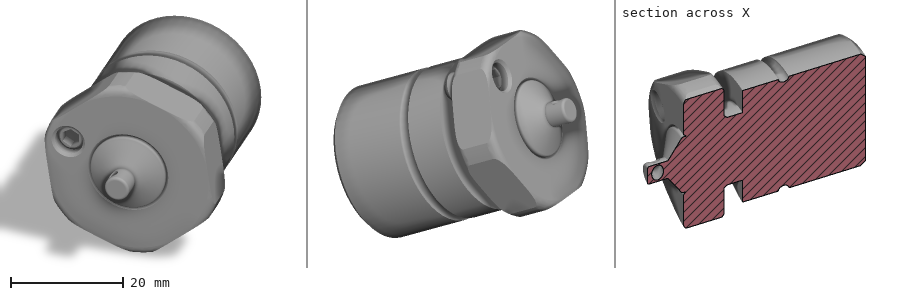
import cadquery as cq
import math

AXIS_START = (0, 0, 0)
AXIS_END = (0, 1, 0)

pin_length = 4.0
nut_front = 7.0
nut_thickness = 8.0
nut_back = nut_front + nut_thickness
neck_length = 3.5
body_front = nut_back + neck_length
body_length = 24.0
body_back = body_front + body_length

body_radius = 28.0 / 2
body_chamfer = 1.0
groove_radius = 1.0
groove_center = body_front + 8.0

neck_radius = 17.0 / 2
neck_flare = 0.5

nut_across_flats = 30.0
nut_corner_radius = 33.0 / 2
nut_edge_fillet = 1.5
nut_corner_angle = 158.5

spindle_radius = 14.0 / 2
spindle_fillet = 0.5
cone_angle = 30.0
pin_radius = 4.5 / 2
pin_fillet = 0.5
bore_chamfer = 0.5
cross_hole_diameter = 2.2
cross_hole_station = 2.0
cross_hole_angle = nut_corner_angle - 30.0

screw_pitch_radius = 12.0
screw_radius = 6.0 / 2
screw_hole_radius = 5.2 / 2
screw_hole_chamfer = 0.5
screw_recess = 1.5
screw_head_chamfer = 0.6
screw_point_length = 1.6
screw_point_radius = 1.5
socket_across_flats = 3.0
socket_depth = 2.0


def plane_at(station):
    """Plane square to the axis, local x = +X, local y = +Z, normal = -Y."""
    return cq.Workplane("XZ", origin=(0, station, 0))


def cylinder(radius, start, end):
    """Cylinder about the axis."""
    return plane_at(end).circle(radius).extrude(end - start)


def hexagon(across_flats, start, end):
    """Hexagonal bar with a corner pointing to +X."""
    across_corners = across_flats / math.cos(math.pi / 6)
    return plane_at(end).polygon(6, across_corners).extrude(end - start)


def cone(start_radius, end_radius, start, end):
    """Cone frustum about the axis."""
    outline = cq.Workplane("XY").polyline([
        (0, start),
        (start_radius, start),
        (end_radius, end),
        (0, end),
    ])
    return outline.close().revolve(360, AXIS_START, AXIS_END)


def at_screw(shape):
    """Move a shape from the axis to the position of the set screw."""
    angle = math.radians(nut_corner_angle)
    return shape.translate((screw_pitch_radius * math.cos(angle), 0, screw_pitch_radius * math.sin(angle)))


def make_body():
    body = cylinder(body_radius, body_front, body_back).faces(">Y").chamfer(body_chamfer)
    ring = cq.Workplane("XY").center(body_radius, groove_center).circle(groove_radius)
    groove = ring.revolve(360, (-body_radius, 0, 0), (-body_radius, 1, 0))
    return body.cut(groove)


def make_neck():
    neck = cylinder(neck_radius, nut_back, body_front)
    flare = cone(neck_radius + neck_flare, neck_radius, nut_back, nut_back + neck_flare)
    return neck.union(flare)


def make_nut():
    blank = cylinder(nut_corner_radius, nut_front, nut_back).edges().fillet(nut_edge_fillet)
    flats = hexagon(nut_across_flats, nut_front, nut_back).rotate(AXIS_START, AXIS_END, -nut_corner_angle)
    bore_edge = cone(spindle_radius + bore_chamfer, spindle_radius, nut_front, nut_front + bore_chamfer)
    return blank.intersect(flats).cut(bore_edge)


def make_spindle():
    cone_height = (spindle_radius - pin_radius) * math.tan(math.radians(cone_angle))
    outline = cq.Workplane("XY").polyline([
        (0, pin_length),
        (pin_radius, pin_length),
        (spindle_radius, pin_length + cone_height),
        (spindle_radius, nut_back),
        (0, nut_back),
    ])
    spindle = outline.close().revolve(360, AXIS_START, AXIS_END)
    spindle = spindle.edges("%CIRCLE").edges("<<Y[1]").fillet(spindle_fillet)
    pin = cylinder(pin_radius, 0, pin_length).faces("<Y").edges().fillet(pin_fillet)
    return spindle.union(pin)


def make_cross_hole():
    reach = 2 * pin_radius
    hole = cq.Workplane("YZ", origin=(-reach, 0, 0)).circle(cross_hole_diameter / 2).extrude(2 * reach)
    return hole.rotate(AXIS_START, AXIS_END, -cross_hole_angle).translate((0, cross_hole_station, 0))


def make_screw_pocket():
    """Hollow in front of the set screw, down to its chamfered head and hexagonal socket."""
    head_station = nut_front + screw_recess
    outline = cq.Workplane("XY").polyline([
        (0, nut_front),
        (screw_hole_radius + screw_hole_chamfer, nut_front),
        (screw_hole_radius, nut_front + screw_hole_chamfer),
        (screw_hole_radius, head_station + screw_head_chamfer),
        (screw_hole_radius - screw_head_chamfer, head_station),
        (0, head_station),
    ])
    hollow = outline.close().revolve(360, AXIS_START, AXIS_END)
    socket = hexagon(socket_across_flats, head_station, head_station + socket_depth)
    return at_screw(hollow.union(socket.rotate(AXIS_START, AXIS_END, 90)))


def make_screw_point():
    """Free end of the set screw, from the back of the nut to the front of the body."""
    point_start = body_front - screw_point_length
    shank = cylinder(screw_radius, nut_back, point_start)
    point = cone(screw_radius, screw_point_radius, point_start, body_front)
    return at_screw(shank.union(point))


nut = make_nut().cut(make_screw_pocket())
spindle = make_spindle().cut(make_cross_hole())
result = make_body().union(make_neck()).union(nut).union(spindle).union(make_screw_point())